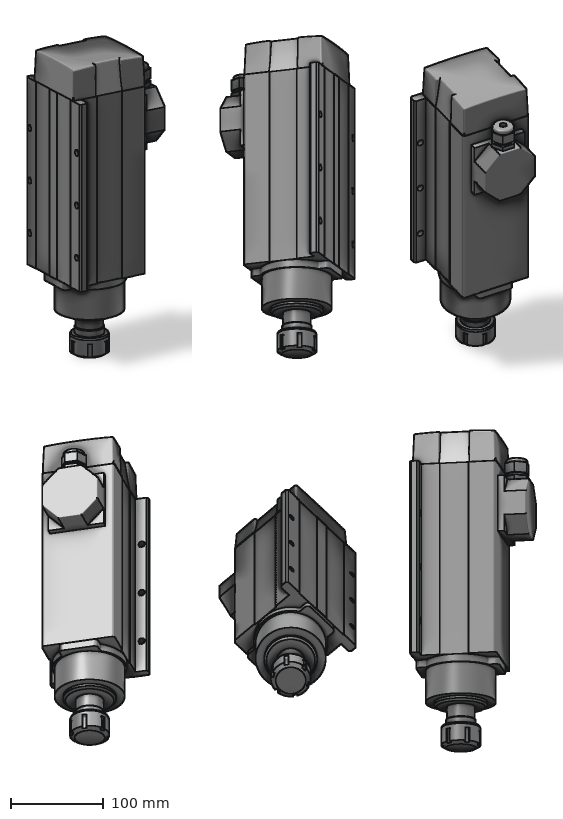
import cadquery as cq
import math


NUT_TOP = 23.8
SHOULDER_TOP = 31.7
RING_BOTTOM = 45.8
NOSE_BOTTOM = 51.0
FLANGE_BOTTOM = 86.0
HOUSING_BOTTOM = 94.5
HOUSING_TOP = 308.3
OVERALL_TOP = 344.5

HOUSING_HALF_X = 41.0
HOUSING_DEPTH = 92.5
HOUSING_HALF_Y = HOUSING_DEPTH / 2
HOUSING_CORNER = 3.5
FLANK_RECESS = 1.0
PANEL_RECESS = 0.7
SIDE_PANEL_HALF_WIDTH = 16.0
FRONT_PANEL_INNER_X = 7.5
FRONT_PANEL_OUTER_X = 34.8

WING_SPAN = 110.0
WING_HALF_SPAN = WING_SPAN / 2
WING_THICKNESS = 10.5
WING_CHAMFER = 2.0
WING_HOLE_DIAMETER = 7.0
WING_HOLE_X = 48.0
WING_HOLE_PITCH = 60.0
WING_HOLE_MIDDLE_Z = 191.5

CAP_HALF_X = 40.3
CAP_HALF_Y = 45.8
CAP_DRAFT_DEGREES = 2.0
CAP_EDGE_RADIUS = 2.0
CAP_RIM_RADIUS = 1.7
CAP_FLAT_RADIUS = 30.0
CAP_DOME_RADIUS = 241.0
CAP_POCKET_BASE_X = 40.0
CAP_POCKET_TOP_X = 34.8

FLANGE_RADIUS = 40.0
FLANGE_TAB_HALF_X = 21.7
FLANGE_TAB_REACH = 45.8
FLANGE_TAB_CORNER = 4.8
FLANGE_TAB_ROOT = 2.0

NOSE_RADIUS = 38.0
RING_RADIUS = 28.5
RING_CHAMFER = 2.5

SHAFT_RADIUS = 15.0
SHOULDER_RADIUS = 16.2

NUT_RADIUS = 21.5
NUT_TOP_CHAMFER_RADIAL = 1.0
NUT_TOP_CHAMFER_HEIGHT = 2.0
NUT_TIP_RADIUS = 16.2
NUT_TIP_HEIGHT = 3.0
NUT_SLOT_COUNT = 6
NUT_SLOT_WIDTH = 4.8
NUT_SLOT_DEPTH = 2.5
NUT_SLOT_TOP = 17.5
NUT_SLOT_END_RADIUS = 3.0

BOX_SIDE = 62.0
BOX_BOTTOM = 232.2
BOX_OUTER_Y = 77.0
BOX_CORNER_CUT = 18.0
BOX_CORNER_CUT_Y = 53.5
BOX_EDGE_RADIUS = 1.0

GLAND_Y = 61.3
GLAND_ACROSS_FLATS = 24.0
GLAND_BASE_HEIGHT = 5.0
GLAND_NECK_RADIUS = 10.5
GLAND_NECK_HEIGHT = 3.0
GLAND_NUT_HEIGHT = 11.7
GLAND_COLLAR_RADIUS = 11.7
GLAND_COLLAR_HEIGHT = 2.0
GLAND_DOME_HEIGHT = 2.8
GLAND_DOME_TOP_RADIUS = 9.0
GLAND_BORE_RADIUS = 3.8


def block(x_range, y_range, z_range):
    """Axis-aligned box between the given (low, high) limits."""
    (x0, x1), (y0, y1), (z0, z1) = x_range, y_range, z_range
    return cq.Workplane("XY").box(x1 - x0, y1 - y0, z1 - z0, centered=False).translate((x0, y0, z0))


def disc(radius, bottom, top):
    """Cylinder on the spindle axis."""
    return cq.Workplane("XY").workplane(offset=bottom).circle(radius).extrude(top - bottom)


def make_housing():
    length = HOUSING_TOP - HOUSING_BOTTOM
    z_range = (HOUSING_BOTTOM, HOUSING_TOP)
    base = cq.Workplane("XY").workplane(offset=HOUSING_BOTTOM)

    core = base.rect(2 * HOUSING_HALF_X, 2 * HOUSING_HALF_Y).extrude(length)
    core = core.edges("|Z and >Y").fillet(HOUSING_CORNER)

    wing_y = -HOUSING_HALF_Y + WING_THICKNESS / 2
    wings = base.center(0, wing_y).rect(2 * WING_HALF_SPAN, WING_THICKNESS).extrude(length)
    wings = wings.edges("|Z").chamfer(WING_CHAMFER)
    housing = core.union(wings)

    for side in (-1, 1):
        flank = sorted((side * HOUSING_HALF_X, side * (HOUSING_HALF_X - FLANK_RECESS)))
        housing = housing.cut(block(flank, (-SIDE_PANEL_HALF_WIDTH, SIDE_PANEL_HALF_WIDTH), z_range))
        panel = sorted((side * FRONT_PANEL_INNER_X, side * FRONT_PANEL_OUTER_X))
        depth = (-HOUSING_HALF_Y, -HOUSING_HALF_Y + PANEL_RECESS)
        housing = housing.cut(block(panel, depth, z_range))

    hole_centers = [
        (side * WING_HOLE_X, WING_HOLE_MIDDLE_Z + row * WING_HOLE_PITCH)
        for side in (-1, 1)
        for row in (-1, 0, 1)
    ]
    holes = (
        cq.Workplane("XZ", origin=(0, -HOUSING_HALF_Y, 0))
        .pushPoints(hole_centers)
        .circle(WING_HOLE_DIAMETER / 2)
        .extrude(-WING_THICKNESS)
    )
    return housing.cut(holes)


def cap_dome():
    """Envelope with a flat round crown that falls away in a gentle arc."""
    reach = 2 * CAP_FLAT_RADIUS
    drop = CAP_DOME_RADIUS - math.sqrt(CAP_DOME_RADIUS**2 - (reach - CAP_FLAT_RADIUS) ** 2)
    return (
        cq.Workplane("XZ")
        .moveTo(0, HOUSING_TOP)
        .lineTo(0, OVERALL_TOP)
        .lineTo(CAP_FLAT_RADIUS, OVERALL_TOP)
        .radiusArc((reach, OVERALL_TOP - drop), CAP_DOME_RADIUS)
        .lineTo(reach, HOUSING_TOP)
        .close()
        .revolve(360, (0, 0, 0), (0, 1, 0))
    )


def cap_pocket(side):
    """Wedge that cuts a sloping recess into one flank of the cap."""
    outer_x = CAP_HALF_X + 3.5
    return (
        cq.Workplane("XZ", origin=(0, SIDE_PANEL_HALF_WIDTH, 0))
        .polyline(
            [
                (side * CAP_POCKET_BASE_X, HOUSING_TOP),
                (side * CAP_POCKET_TOP_X, OVERALL_TOP),
                (side * outer_x, OVERALL_TOP),
                (side * outer_x, HOUSING_TOP),
            ]
        )
        .close()
        .extrude(2 * SIDE_PANEL_HALF_WIDTH)
    )


def make_cap():
    cap = (
        cq.Workplane("XY")
        .workplane(offset=HOUSING_TOP)
        .rect(2 * CAP_HALF_X, 2 * CAP_HALF_Y)
        .extrude(OVERALL_TOP - HOUSING_TOP, taper=CAP_DRAFT_DEGREES)
    )
    cap = cap.edges("not #Z").edges("not |X").edges("not |Y").fillet(CAP_EDGE_RADIUS)
    for side in (-1, 1):
        cap = cap.cut(cap_pocket(side))

    for side in (-1, 1):
        mouth_x = side * CAP_HALF_X
        near_mouth = cq.selectors.BoxSelector(
            (mouth_x - 1.7, -SIDE_PANEL_HALF_WIDTH - 0.5, HOUSING_TOP + 3.5),
            (mouth_x + 1.7, SIDE_PANEL_HALF_WIDTH + 0.5, OVERALL_TOP),
        )
        cap = cap.edges(near_mouth).fillet(CAP_EDGE_RADIUS)

    cap = cap.intersect(cap_dome())
    crown_faces = cap.faces(
        cq.selectors.BoxSelector(
            (-CAP_HALF_X, -CAP_HALF_Y, OVERALL_TOP - 3.5),
            (CAP_HALF_X, CAP_HALF_Y, OVERALL_TOP + 3.5),
        )
    )
    cap = crown_faces.edges().edges("not %CIRCLE").fillet(CAP_RIM_RADIUS)
    return cap


def make_flange():
    thickness = HOUSING_BOTTOM - FLANGE_BOTTOM
    base = cq.Workplane("XY").workplane(offset=FLANGE_BOTTOM)
    tabs = base.rect(2 * FLANGE_TAB_HALF_X, 2 * FLANGE_TAB_REACH).extrude(thickness)
    tabs = tabs.edges("|Z").fillet(FLANGE_TAB_CORNER)
    flange = base.circle(FLANGE_RADIUS).extrude(thickness).union(tabs)

    root_y = math.sqrt(FLANGE_RADIUS**2 - FLANGE_TAB_HALF_X**2)
    near_root = cq.selectors.BoxSelector(
        (-FLANGE_TAB_HALF_X - 0.5, -root_y - 0.5, FLANGE_BOTTOM),
        (FLANGE_TAB_HALF_X + 0.5, root_y + 0.5, HOUSING_BOTTOM),
    )
    return flange.edges("|Z").edges(near_root).fillet(FLANGE_TAB_ROOT)


def make_nose():
    return disc(NOSE_RADIUS, NOSE_BOTTOM, FLANGE_BOTTOM)


def make_ring():
    return disc(RING_RADIUS, RING_BOTTOM, NOSE_BOTTOM).faces("<Z").edges().chamfer(RING_CHAMFER)


def make_shaft():
    journal = disc(SHAFT_RADIUS, SHOULDER_TOP, RING_BOTTOM)
    shoulder = disc(SHOULDER_RADIUS, NUT_TOP, SHOULDER_TOP)
    shoulder = shoulder.faces(">Z").edges().chamfer(SHOULDER_RADIUS - SHAFT_RADIUS)
    return journal.union(shoulder)


def nut_slot():
    """Cutter for one wrench slot on the -Y side, open below and rounded at its upper end."""
    floor = NUT_RADIUS - NUT_SLOT_DEPTH
    outside = floor + NUT_SLOT_END_RADIUS
    arc_start = NUT_SLOT_TOP - NUT_SLOT_END_RADIUS
    return (
        cq.Workplane("YZ", origin=(-NUT_SLOT_WIDTH / 2, 0, 0))
        .moveTo(-floor, 0)
        .lineTo(-floor, arc_start)
        .radiusArc((-outside, NUT_SLOT_TOP), -NUT_SLOT_END_RADIUS)
        .lineTo(-outside, 0)
        .close()
        .extrude(NUT_SLOT_WIDTH)
    )


def make_collet_nut():
    nut = (
        cq.Workplane("XZ")
        .polyline(
            [
                (0, 0),
                (NUT_TIP_RADIUS, 0),
                (NUT_RADIUS, NUT_TIP_HEIGHT),
                (NUT_RADIUS, NUT_TOP - NUT_TOP_CHAMFER_HEIGHT),
                (NUT_RADIUS - NUT_TOP_CHAMFER_RADIAL, NUT_TOP),
                (0, NUT_TOP),
            ]
        )
        .close()
        .revolve(360, (0, 0, 0), (0, 1, 0))
    )
    for index in range(NUT_SLOT_COUNT):
        angle = index * 360 / NUT_SLOT_COUNT
        nut = nut.cut(nut_slot().rotate((0, 0, 0), (0, 0, 1), angle))
    return nut


def make_terminal_box():
    middle_z = BOX_BOTTOM + BOX_SIDE / 2
    base = (
        cq.Workplane("XZ", origin=(0, HOUSING_HALF_Y, middle_z))
        .rect(BOX_SIDE, BOX_SIDE)
        .extrude(HOUSING_HALF_Y - BOX_CORNER_CUT_Y)
    )
    cover = (
        cq.Workplane("XZ", origin=(0, BOX_CORNER_CUT_Y, middle_z))
        .rect(BOX_SIDE, BOX_SIDE)
        .extrude(BOX_CORNER_CUT_Y - BOX_OUTER_Y)
        .edges("|Y")
        .chamfer(BOX_CORNER_CUT)
        .faces(">Y")
        .edges()
        .fillet(BOX_EDGE_RADIUS)
    )
    return base.union(cover)


def make_gland():
    across_corners = GLAND_ACROSS_FLATS / math.cos(math.pi / 6)
    base = cq.Workplane("XY", origin=(0, GLAND_Y, BOX_BOTTOM + BOX_SIDE))
    neck_z = GLAND_BASE_HEIGHT
    nut_z = neck_z + GLAND_NECK_HEIGHT
    collar_z = nut_z + GLAND_NUT_HEIGHT
    dome_z = collar_z + GLAND_COLLAR_HEIGHT
    top_z = dome_z + GLAND_DOME_HEIGHT

    gland = base.polygon(6, across_corners).extrude(GLAND_BASE_HEIGHT)
    gland = gland.union(base.workplane(offset=neck_z).circle(GLAND_NECK_RADIUS).extrude(GLAND_NECK_HEIGHT))
    gland = gland.union(base.workplane(offset=nut_z).polygon(6, across_corners).extrude(GLAND_NUT_HEIGHT))

    crown = (
        cq.Workplane("XZ", origin=(0, GLAND_Y, BOX_BOTTOM + BOX_SIDE))
        .moveTo(0, collar_z)
        .lineTo(GLAND_COLLAR_RADIUS, collar_z)
        .lineTo(GLAND_COLLAR_RADIUS, dome_z)
        .tangentArcPoint((GLAND_DOME_TOP_RADIUS, top_z), relative=False)
        .lineTo(0, top_z)
        .close()
        .revolve(360, (0, 0, 0), (0, 1, 0))
    )
    bore = base.circle(GLAND_BORE_RADIUS).extrude(top_z)
    return gland.union(crown).cut(bore)


housing = make_housing()
cap = make_cap()
flange = make_flange()
nose = make_nose()
ring = make_ring()
shaft = make_shaft()
collet_nut = make_collet_nut()
terminal_box = make_terminal_box()
gland = make_gland()

bodies = [housing, cap, flange, nose, ring, shaft, collet_nut, terminal_box, gland]
result = cq.Compound.makeCompound([body.solids().val() for body in bodies])